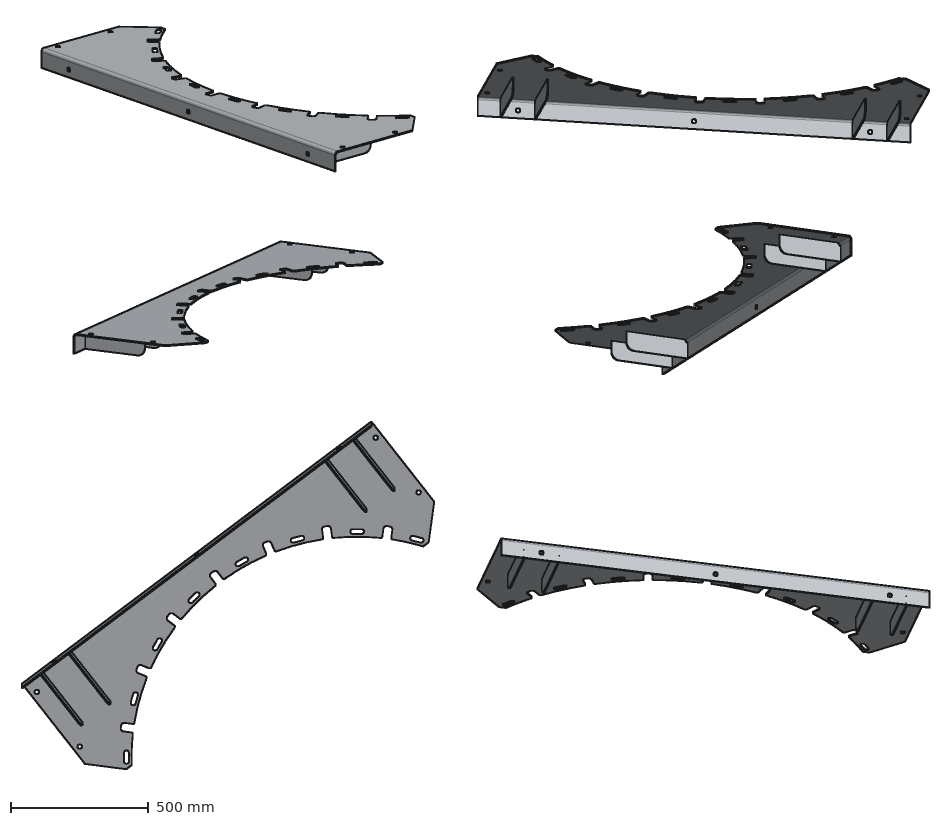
import cadquery as cq
import math

length = 1600
depth = 485.0
height = 75.0
thickness = 5.0
bend_outer_radius = 13.0
bend_inner_radius = bend_outer_radius - thickness

peak_outer_x = 693.0
shoulder_y = depth - (length / 2 - peak_outer_x)
cradle_radius = 820.0
cradle_bottom_y = 140.0
cradle_center_y = cradle_bottom_y + cradle_radius

notch_pitch = 15
notches_per_side = 3
notch_width = 32
notch_bottom_radius = 865.0
notch_corner_radius = 11.0
notch_mouth_radius = 6.0
slot_length = 50.0
slot_width = 18.0
slot_center_radius = 838.0
slots_per_side = 4
cut_reach = 2 * thickness

web_hole_diameter = 16
web_hole_x = 776.0
web_hole_ys = (60.0, 315.0)
flange_hole_diameter = 16
flange_hole_pitch = 651.0
flange_hole_z = -45.0

rib_thickness = 5.0
rib_end_y = 250.0
rib_corner_radius = 30.0
rib_bend_chamfer = 11.0
rib_offset = 64
rib_xs = [
    side * flange_hole_pitch + step
    for side in (-1, 1)
    for step in (-rib_offset, rib_offset)
]


def around_cradle(shape, angle):
    """Turn a shape around the cradle axis, away from the lowest point of the cradle."""
    return shape.rotate((0, cradle_center_y, 0), (0, cradle_center_y, 1), angle)


def make_bent_blank():
    """Full-length L profile with concentric bend radii."""
    blank = (
        cq.Workplane("YZ")
        .polyline([
            (0, 0),
            (depth, 0),
            (depth, -thickness),
            (thickness, -thickness),
            (thickness, -height),
            (0, -height),
        ])
        .close()
        .extrude(length / 2, both=True)
    )
    outer_edge = cq.selectors.NearestToPointSelector((0, 0, 0))
    blank = blank.edges(outer_edge).fillet(bend_outer_radius)
    inner_edge = cq.selectors.NearestToPointSelector((0, thickness, -thickness))
    return blank.edges(inner_edge).fillet(bend_inner_radius)


def make_outline():
    """Upright prism of the web outline, without the cradle."""
    return (
        cq.Workplane("XY")
        .workplane(offset=-height)
        .polyline([
            (-length / 2, 0),
            (length / 2, 0),
            (length / 2, shoulder_y),
            (peak_outer_x, depth),
            (-peak_outer_x, depth),
            (-length / 2, shoulder_y),
        ])
        .close()
        .extrude(height)
    )


def make_notch():
    """Cutter for the lowest notch, rounded at its bottom corners."""
    return (
        cq.Workplane("XY")
        .rect(notch_width, 2 * notch_bottom_radius)
        .extrude(cut_reach, both=True)
        .translate((0, cradle_center_y, 0))
        .edges("|Z and <Y")
        .fillet(notch_corner_radius)
    )


def make_slot():
    """Cutter for a tangential slot, placed below the cradle axis."""
    return (
        cq.Workplane("XY")
        .slot2D(slot_length, slot_width)
        .extrude(cut_reach, both=True)
        .translate((0, cradle_center_y - slot_center_radius, 0))
    )


def make_cradle():
    """Cutter for the cradle with its notches, rounded where the notches open."""
    cutter = (
        cq.Workplane("XY")
        .center(0, cradle_center_y)
        .circle(cradle_radius)
        .extrude(cut_reach, both=True)
    )
    notch = make_notch()
    for index in range(-notches_per_side, notches_per_side + 1):
        cutter = cutter.union(around_cradle(notch, index * notch_pitch))
    half_mouth = notch_width / 2
    mouth_radial = math.sqrt(cradle_radius**2 - half_mouth**2)
    for index in range(-notches_per_side, notches_per_side + 1):
        angle = math.radians(index * notch_pitch)
        for side in (-half_mouth, half_mouth):
            x = side * math.cos(angle) + mouth_radial * math.sin(angle)
            y = cradle_center_y + side * math.sin(angle) - mouth_radial * math.cos(angle)
            mouth_edge = cq.selectors.NearestToPointSelector((x, y, 0))
            cutter = cutter.edges(mouth_edge).fillet(notch_mouth_radius)
    return cutter


def make_plate():
    plate = make_bent_blank().intersect(make_outline()).cut(make_cradle())

    slot = make_slot()
    for index in range(slots_per_side):
        angle = (index + 0.5) * notch_pitch
        plate = plate.cut(around_cradle(slot, angle)).cut(around_cradle(slot, -angle))

    web_holes = (
        cq.Workplane("XY")
        .pushPoints([(x, y) for x in (-web_hole_x, web_hole_x) for y in web_hole_ys])
        .circle(web_hole_diameter / 2)
        .extrude(-thickness)
    )
    flange_holes = (
        cq.Workplane("XZ")
        .pushPoints([(index * flange_hole_pitch, flange_hole_z) for index in (-1, 0, 1)])
        .circle(flange_hole_diameter / 2)
        .extrude(-thickness)
    )
    return plate.cut(web_holes).cut(flange_holes)


def make_rib(x):
    """Flat rib under the web and behind the flange, chamfered clear of the bend."""
    return (
        cq.Workplane("YZ")
        .workplane(offset=x - rib_thickness / 2)
        .moveTo(thickness, -height)
        .lineTo(thickness, -thickness - rib_bend_chamfer)
        .lineTo(thickness + rib_bend_chamfer, -thickness)
        .lineTo(rib_end_y, -thickness)
        .lineTo(rib_end_y, rib_corner_radius - height)
        .radiusArc((rib_end_y - rib_corner_radius, -height), rib_corner_radius)
        .close()
        .extrude(rib_thickness)
    )


plate = make_plate()
ribs = [make_rib(x) for x in rib_xs]

result = cq.Compound.makeCompound([plate.val(), *[rib.val() for rib in ribs]])